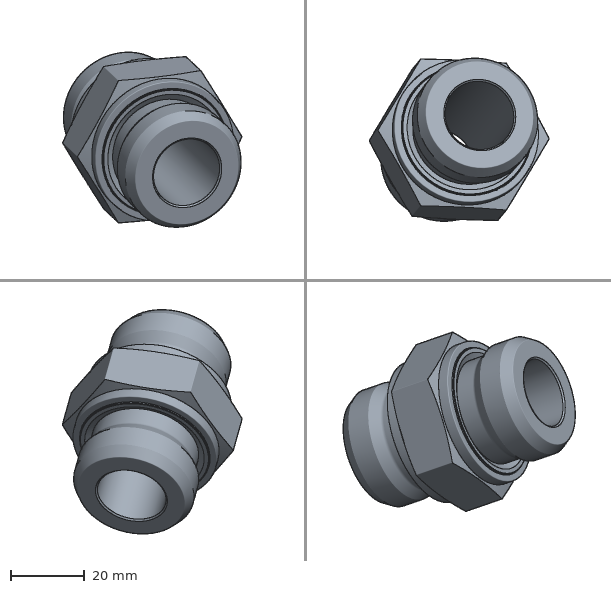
import cadquery as cq
import math

length = 56.0
bore_diameter = 19.0
bore_chamfer = 0.45

thread_diameter = 33.25
end_face_diameter = 29.7
neck_diameter = 29.5
thread_end = 9.65
cone_angle = math.radians(30)
neck_fillet = 1.45
thread_edge_fillet = 0.2

hex_across_flats = 41.0
hex_start = 21.05
hex_chamfer_angle = math.radians(15)
flange_diameter = 39.8
hex_chamfer_diameter = flange_diameter
flange_start = 18.0
hex_corner_fillet = 0.2
flange_edge_fillet = 0.2

groove_diameter = 36.05
groove_depth = 1.5
ring_diameter = 35.7
ring_mouth_diameter = 33.05
ring_mouth_depth = 1.05
ring_protrusion = 0.45
ring_chamfer = 0.15

middle = length / 2
groove_floor = flange_start + groove_depth


def revolve_about_x(half_section):
    """Revolve a closed sketch in the XY plane about the X axis."""
    return half_section.close().revolve(360, (0, 0, 0), (1, 0, 0))


def mirror_to_far_end(body):
    return body.mirror("YZ", (middle, 0, 0))


def make_threaded_end():
    thread_radius = thread_diameter / 2
    end_radius = end_face_diameter / 2
    neck_radius = neck_diameter / 2
    chamfer_length = (thread_radius - end_radius) / math.tan(cone_angle)
    neck_start = thread_end + (thread_radius - neck_radius) / math.tan(cone_angle)

    tangent = neck_fillet * math.tan(cone_angle / 2)
    fillet_start = (
        neck_start - tangent * math.cos(cone_angle),
        neck_radius + tangent * math.sin(cone_angle),
    )
    fillet_end = (neck_start + tangent, neck_radius)
    fillet_middle = (
        fillet_end[0] - neck_fillet * math.sin(cone_angle / 2),
        neck_radius + neck_fillet * (1 - math.cos(cone_angle / 2)),
    )
    end = revolve_about_x(
        cq.Workplane("XY")
        .moveTo(0, 0)
        .lineTo(0, end_radius)
        .lineTo(chamfer_length, thread_radius)
        .lineTo(thread_end, thread_radius)
        .lineTo(*fillet_start)
        .threePointArc(fillet_middle, fillet_end)
        .lineTo(middle, neck_radius)
        .lineTo(middle, 0)
    )
    end_face_edge = end.faces("<X").edges()
    shoulders = end.edges(cq.selectors.RadiusNthSelector(-1))
    return end.newObject(end_face_edge.vals() + shoulders.vals()).fillet(thread_edge_fillet)


def make_flange():
    """Disc from one flange face to the middle, with the seal groove around the neck."""
    return (
        cq.Workplane("YZ", origin=(flange_start, 0, 0))
        .circle(flange_diameter / 2)
        .extrude(middle - flange_start)
        .faces("<X")
        .edges()
        .fillet(flange_edge_fillet)
        .cut(
            cq.Workplane("YZ", origin=(flange_start, 0, 0))
            .circle(groove_diameter / 2)
            .extrude(groove_depth)
        )
    )


def make_hexagon():
    """Hexagonal prism with corners on the Y axis, turned conically on both sides."""
    corner_radius = hex_across_flats / math.sqrt(3)
    chamfer_radius = hex_chamfer_diameter / 2
    chamfer_length = (corner_radius - chamfer_radius) * math.tan(hex_chamfer_angle)
    prism = (
        cq.Workplane("YZ", origin=(hex_start, 0, 0))
        .polygon(6, 2 * corner_radius)
        .extrude(length - 2 * hex_start)
        .edges("|X")
        .fillet(hex_corner_fillet)
    )
    turned_half = revolve_about_x(
        cq.Workplane("XY")
        .moveTo(hex_start, 0)
        .lineTo(hex_start, chamfer_radius)
        .lineTo(hex_start + chamfer_length, corner_radius)
        .lineTo(middle, corner_radius)
        .lineTo(middle, 0)
    )
    return prism.intersect(turned_half.union(mirror_to_far_end(turned_half)))


def make_housing():
    half = make_flange().union(make_threaded_end())
    body = make_hexagon().union(half).union(mirror_to_far_end(half))
    bore = cq.Workplane("YZ").circle(bore_diameter / 2).extrude(length)
    body = body.cut(bore)
    bore_edges = cq.selectors.RadiusNthSelector(0)
    return body.faces("<X or >X").edges(bore_edges).chamfer(bore_chamfer)


def make_seal_ring():
    """Ring around the neck, proud of the flange, its bore opening in a cone at the free face."""
    free_face = flange_start - ring_protrusion
    outer_radius = ring_diameter / 2
    neck_radius = neck_diameter / 2
    return revolve_about_x(
        cq.Workplane("XY")
        .moveTo(groove_floor, neck_radius)
        .lineTo(groove_floor, outer_radius)
        .lineTo(free_face + ring_chamfer, outer_radius)
        .lineTo(free_face, outer_radius - ring_chamfer)
        .lineTo(free_face, ring_mouth_diameter / 2)
        .lineTo(free_face + ring_mouth_depth, neck_radius)
    )


housing = make_housing()
seal_rings = []
for at_far_end in (False, True):
    ring = make_seal_ring()
    if at_far_end:
        ring = mirror_to_far_end(ring)
    seal_rings.append(ring.val())

result = cq.Compound.makeCompound([housing.val(), *seal_rings])